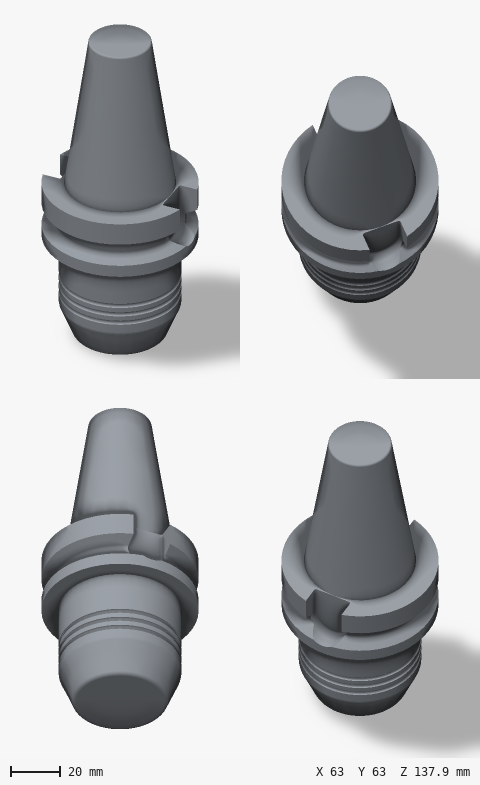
import math

import cadquery as cq

total_height = 137.9
flange_radius = 63.0 / 2

shank_base_radius = 22.5
taper_on_diameter = 7 / 24
shank_top_fillet = 0.8

flange_bottom = 45.6
flange_top = 70.6
groove_floor_radius = 26.5
groove_lower_edge = 50.9
groove_upper_edge = 61.0
groove_flank_angle = 30
groove_corner_fillet = 1.0

body_radius = 49.2 / 2
nose_cone_top = 14.0
nose_bottom_radius = 18.9
nose_shoulder_fillet = 2.0
nose_bottom_fillet = 1.8

ring_count = 3
ring_pitch = 4.0
ring_lowest_center = 19.3
ring_radius = 1.0

slot_width = 16.3
slot_floor_x = 22.6
slot_bottom = 49.8
slot_floor_fillet = 0.8

shank_top_radius = shank_base_radius - (total_height - flange_top) * taper_on_diameter / 2
flank_rise = (flange_radius - groove_floor_radius) * math.tan(math.radians(groove_flank_angle))
groove_floor_bottom = groove_lower_edge + flank_rise
groove_floor_top = groove_upper_edge - flank_rise


def add_ring_groove(profile, center_z):
    """Extend the outline up to and around one half-round ring, as two quarter arcs."""
    diagonal = ring_radius * math.sqrt(0.5)
    floor_point = (body_radius - ring_radius, center_z)
    return (
        profile.lineTo(body_radius, center_z - ring_radius)
        .threePointArc((body_radius - diagonal, center_z - diagonal), floor_point)
        .threePointArc((body_radius - diagonal, center_z + diagonal), (body_radius, center_z + ring_radius))
    )


def revolved_body():
    profile = (
        cq.Workplane("XZ")
        .lineTo(nose_bottom_radius, 0)
        .lineTo(body_radius, nose_cone_top)
    )
    for index in range(ring_count):
        profile = add_ring_groove(profile, ring_lowest_center + index * ring_pitch)
    profile = (
        profile.lineTo(body_radius, flange_bottom)
        .lineTo(flange_radius, flange_bottom)
        .lineTo(flange_radius, groove_lower_edge)
        .lineTo(groove_floor_radius, groove_floor_bottom)
        .lineTo(groove_floor_radius, groove_floor_top)
        .lineTo(flange_radius, groove_upper_edge)
        .lineTo(flange_radius, flange_top)
        .lineTo(shank_base_radius, flange_top)
        .lineTo(shank_top_radius, total_height)
        .lineTo(0, total_height)
        .close()
    )
    return profile.revolve(360, (0, 0, 0), (0, 1, 0))


def round_circle_edge(body, height, radius):
    """Fillet the circular edge centred on the axis at the given height."""
    nearest = cq.selectors.NearestToPointSelector((0, 0, height))
    return body.edges("%CIRCLE").edges(nearest).fillet(radius)


def drive_slot():
    """Slot cutter on the +X side, with its floor edges rounded."""
    half_width = slot_width / 2
    arc_center_z = slot_bottom + half_width
    cutter_top = flange_top + 2 * slot_floor_fillet
    cutter = (
        cq.Workplane("YZ", origin=(slot_floor_x, 0, 0))
        .moveTo(-half_width, cutter_top)
        .lineTo(-half_width, arc_center_z)
        .threePointArc((0, slot_bottom), (half_width, arc_center_z))
        .lineTo(half_width, cutter_top)
        .close()
        .extrude(flange_radius)
    )
    return cutter.faces("<X").edges("not(>Z)").fillet(slot_floor_fillet)


result = revolved_body()
rounded_edges = [
    (0, nose_bottom_fillet),
    (nose_cone_top, nose_shoulder_fillet),
    (groove_floor_bottom, groove_corner_fillet),
    (groove_floor_top, groove_corner_fillet),
    (total_height, shank_top_fillet),
]
for edge_height, fillet_radius in rounded_edges:
    result = round_circle_edge(result, edge_height, fillet_radius)

slot = drive_slot()
for angle in (0, 180):
    result = result.cut(slot.rotate((0, 0, 0), (0, 0, 1), angle))